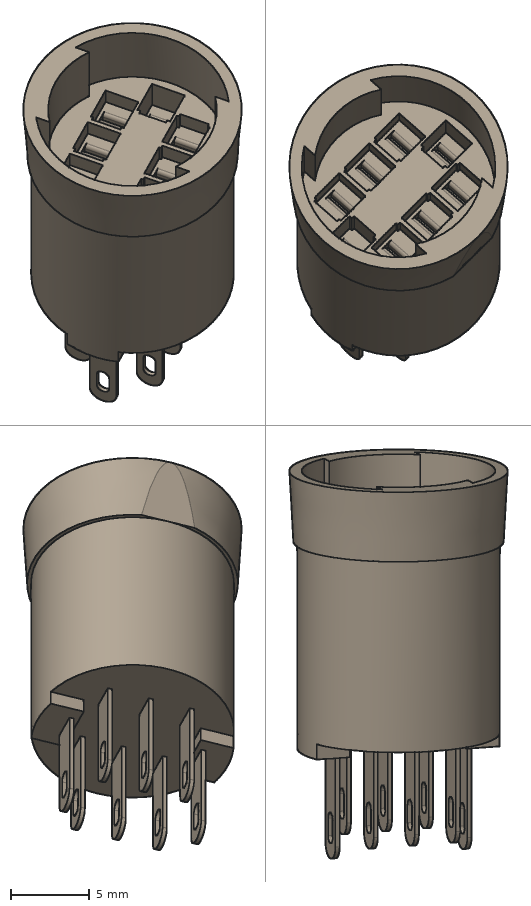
import cadquery as cq

total_height = 25.0
rim_height = 4.6
foot_height = 1.0
body_bottom = 7.9
collar_bottom = total_height - rim_height
socket_floor = collar_bottom
foot_bottom = body_bottom - foot_height

rim_radius = 7.0
collar_base_radius = 6.75
body_radius = 6.5
socket_radius = 6.2

rib_inner_radius = 5.4
rib_half_length = 3.1

foot_width = 3.6
foot_inner_y = 4.0

pocket_size = 2.3
notch_depth = 0.2
side_pocket_depth = 1.2
side_notch_width = 2.0

slot_gap = 0.3
slot_lip_radius = 0.25
slot_depth = 0.8
blade_thickness = 0.3
side_blade_width = 1.8
end_blade_width = 1.88
eye_width = 0.85
eye_length = 2.0
eye_center_above_tip = 2.0

column_x = 2.5
row_pitch = 2.8
end_y = 4.5
end_contact_drop = foot_height


def cylinder(radius, bottom, top):
    return cq.Workplane("XY").workplane(offset=bottom).circle(radius).extrude(top - bottom)


def block(width, length, bottom, top, x=0.0, y=0.0):
    return cq.Workplane("XY", origin=(x, y, bottom)).rect(width, length).extrude(top - bottom)


def make_body():
    """Barrel with a flared collar; the collar has a slanted flat on -X."""
    collar = (
        cq.Workplane("XY").workplane(offset=collar_bottom).circle(collar_base_radius)
        .workplane(offset=rim_height).circle(rim_radius).loft()
    )
    flat_cut = (
        cq.Workplane("XZ")
        .moveTo(-rim_radius, total_height)
        .lineTo(-body_radius, collar_bottom)
        .lineTo(-rim_radius, collar_bottom)
        .close()
        .extrude(rim_radius, both=True)
    )
    barrel = cylinder(body_radius, body_bottom, collar_bottom)
    return barrel.union(collar.cut(flat_cut))


def make_socket():
    """Round recess, narrowed by an arched rib on each X side."""
    wide = cylinder(socket_radius, socket_floor, total_height)
    narrow = cylinder(rib_inner_radius, socket_floor, total_height)
    rib_band = block(2 * socket_radius, 2 * rib_half_length, socket_floor, total_height)
    return wide.cut(rib_band).union(narrow)


def make_feet():
    """Two feet under the barrel wall, at the -Y and +Y sides."""
    foot_length = body_radius - foot_inner_y
    foot_y = foot_inner_y + foot_length / 2
    feet = cq.Workplane("XY")
    for side in (-1, 1):
        feet = feet.union(block(foot_width, foot_length, foot_bottom, body_bottom, y=side * foot_y))
    return feet.intersect(cylinder(body_radius, foot_bottom, body_bottom))


def make_pocket(x, y, floor, notch_width, slot_width, notch_side):
    """Square pocket with a wall notch and a slot with rounded lips in its floor."""
    square = block(pocket_size, pocket_size, floor, socket_floor, x, y)
    notch_length = pocket_size / 2 + notch_depth
    notch = block(notch_width, notch_length, floor, socket_floor, x, y + notch_side * notch_length / 2)
    half_gap = slot_gap / 2
    half_mouth = half_gap + slot_lip_radius
    slot = (
        cq.Workplane("YZ", origin=(x, y, floor))
        .moveTo(-half_mouth, 0)
        .radiusArc((-half_gap, -slot_lip_radius), slot_lip_radius)
        .lineTo(-half_gap, -slot_depth)
        .lineTo(half_gap, -slot_depth)
        .lineTo(half_gap, -slot_lip_radius)
        .radiusArc((half_mouth, 0), slot_lip_radius)
        .close()
        .extrude(slot_width / 2, both=True)
    )
    return square.union(notch).union(slot)


def make_blade(x, y, tip, width):
    """Flat solder blade with a round tip and an upright slotted eye."""
    tip_radius = width / 2
    plane = cq.Workplane("XZ", origin=(x, y, tip))
    outline = (
        plane.moveTo(-tip_radius, tip_radius)
        .threePointArc((0, 0), (tip_radius, tip_radius))
        .lineTo(tip_radius, body_bottom - tip)
        .lineTo(-tip_radius, body_bottom - tip)
        .close()
        .extrude(blade_thickness / 2, both=True)
    )
    eye = (
        plane.center(0, eye_center_above_tip)
        .slot2D(eye_length, eye_width, 90)
        .extrude(blade_thickness, both=True)
    )
    return outline.cut(eye)


result = make_body().union(make_feet()).cut(make_socket())

for column in (-1, 1):
    for row in (-1, 0, 1):
        x = column * column_x
        y = row * row_pitch
        floor = socket_floor - side_pocket_depth
        result = result.cut(make_pocket(x, y, floor, side_notch_width, side_blade_width, column))
        result = result.union(make_blade(x, y, end_contact_drop, side_blade_width))

for end in (-1, 1):
    y = end * end_y
    floor = socket_floor - side_pocket_depth - end_contact_drop
    result = result.cut(make_pocket(0, y, floor, end_blade_width, end_blade_width, -end))
    result = result.union(make_blade(0, y, 0, end_blade_width))